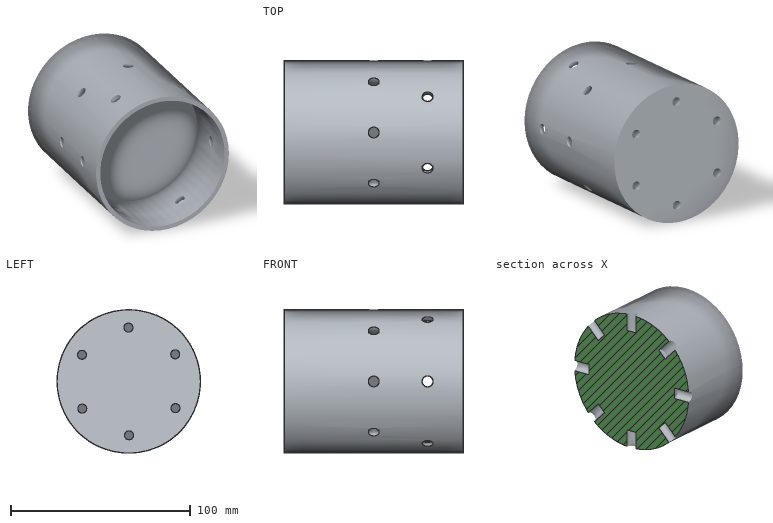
import cadquery as cq

BODY_LENGTH = 100.0
BODY_RADIUS = 40.0

WALL_THICKNESS = 2.5
BORE_RADIUS = BODY_RADIUS - WALL_THICKNESS
BORE_DEPTH = 40.0

FACE_HOLE_COUNT = 6
FACE_HOLE_DIAMETER = 5.0
FACE_HOLE_CIRCLE_RADIUS = 30.0
FACE_HOLE_DEPTH = 10.0
FACE_HOLE_TWIST = 0.3

RADIAL_HOLE_DIAMETER = 6.0

BLIND_HOLE_COUNT = 8
BLIND_HOLE_X = BODY_LENGTH / 2
BLIND_HOLE_DEPTH = 10.0

WALL_HOLE_COUNT = 6
WALL_HOLE_X = BODY_LENGTH - BORE_DEPTH / 2
WALL_HOLE_DEPTH = 2 * WALL_THICKNESS


def axial_cylinder(start_x, length, radius):
    """Cylinder on the X axis, running toward +X from start_x."""
    return cq.Workplane("YZ", origin=(start_x, 0, 0)).circle(radius).extrude(length)


def radial_holes(count, x, depth):
    """Ring of radial hole cutters at station x, the first on the +Y side."""
    cutter = (
        cq.Workplane("XZ", origin=(x, BODY_RADIUS, 0))
        .circle(RADIAL_HOLE_DIAMETER / 2)
        .extrude(depth)
    )
    ring = cq.Workplane("XY")
    for index in range(count):
        ring = ring.add(cutter.rotate((0, 0, 0), (1, 0, 0), index * 360.0 / count))
    return ring.combine()


def face_holes():
    """Bolt circle of cutters entering the closed end face."""
    return (
        cq.Workplane("YZ")
        .polarArray(FACE_HOLE_CIRCLE_RADIUS, 90.0 - FACE_HOLE_TWIST, 360.0, FACE_HOLE_COUNT)
        .circle(FACE_HOLE_DIAMETER / 2)
        .extrude(FACE_HOLE_DEPTH)
    )


body = axial_cylinder(0, BODY_LENGTH, BODY_RADIUS)
bore = axial_cylinder(BODY_LENGTH - BORE_DEPTH, BORE_DEPTH, BORE_RADIUS)

result = (
    body.cut(bore)
    .cut(face_holes())
    .cut(radial_holes(BLIND_HOLE_COUNT, BLIND_HOLE_X, BLIND_HOLE_DEPTH))
    .cut(radial_holes(WALL_HOLE_COUNT, WALL_HOLE_X, WALL_HOLE_DEPTH))
)